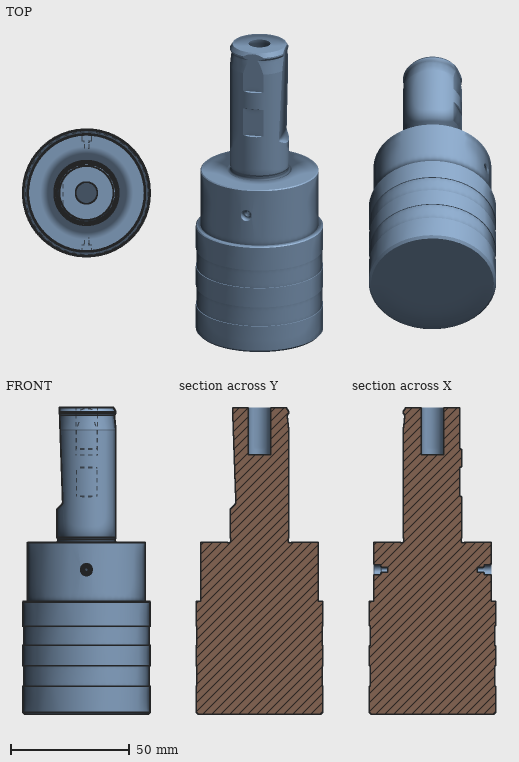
import cadquery as cq
import math

total_height = 130.0

sleeve_radius = 27.0
groove_radius = 26.6
sleeve_top = 48.0
lower_groove = (12.0, 20.6)
upper_groove = (29.3, 37.4)
sleeve_bottom_chamfer_width = 1.0
sleeve_bottom_chamfer_height = 1.0
sleeve_top_chamfer = 0.4

body_radius = 25.0
body_top = 73.0
body_chamfer = 0.4

undercut_radius = 12.2
undercut_top = 75.0
undercut_taper_bottom = 74.2
face_recess_radius = 13.7
undercut_fillet = 0.8
face_recess_depth = 0.3

shank_radius = 12.5
relief_bottom = 120.6
relief_top = 126.6
relief_radius = 11.85
rim_bottom = 127.6
rim_land = 0.6
rim_chamfer_width = 1.1

inclined_flat_angle = 2.0
inclined_flat_top_depth = 1.0
inclined_flat_bottom = 89.2
flat_heel_fillet = 1.7
flat_ramp_angle = 45.0

clamp_flat_depth = 0.8
clamp_flat_ramp = 0.4
lower_clamp_flat = (92.2, 104.9)
upper_clamp_flat_bottom = 112.2

shank_bore_diameter = 9.2
shank_bore_depth = 20.0
side_hole_height = 61.3
side_hole_diameter = 4.0
side_hole_mouth_diameter = 5.0
side_hole_depth = 3.0
side_pilot_diameter = 1.8
side_pilot_depth = 6.0
side_pilot_mouth_diameter = 3.0

cut_margin = 5.0


def make_turned_body():
    """Revolve the whole outside profile about Z."""
    shank_end_radius = shank_radius - rim_chamfer_width
    recess_floor = body_top - face_recess_depth
    profile = (
        cq.Workplane("XZ")
        .moveTo(0, 0)
        .lineTo(sleeve_radius - sleeve_bottom_chamfer_width, 0)
        .lineTo(sleeve_radius, sleeve_bottom_chamfer_height)
    )
    for groove_bottom, groove_top in (lower_groove, upper_groove):
        profile = (
            profile.lineTo(sleeve_radius, groove_bottom)
            .lineTo(groove_radius, groove_bottom)
            .lineTo(groove_radius, groove_top)
            .lineTo(sleeve_radius, groove_top)
        )
    profile = (
        profile.lineTo(sleeve_radius, sleeve_top - sleeve_top_chamfer)
        .lineTo(sleeve_radius - sleeve_top_chamfer, sleeve_top)
        .lineTo(body_radius, sleeve_top)
        .lineTo(body_radius, body_top - body_chamfer)
        .lineTo(body_radius - body_chamfer, body_top)
        .lineTo(face_recess_radius, body_top)
        .lineTo(undercut_radius + undercut_fillet, recess_floor)
        .radiusArc((undercut_radius, recess_floor + undercut_fillet), undercut_fillet)
        .lineTo(undercut_radius, undercut_taper_bottom)
        .lineTo(shank_radius, undercut_top)
        .lineTo(shank_radius, relief_bottom)
        .lineTo(relief_radius, relief_top)
        .lineTo(shank_radius, rim_bottom)
        .lineTo(shank_radius, rim_bottom + rim_land)
        .lineTo(shank_end_radius, total_height)
        .lineTo(0, total_height)
        .close()
    )
    return profile.revolve(360, (0, 0, 0), (0, 1, 0))


def make_inclined_flat_cutter():
    """Wedge removed from the -X side: a flat sloping inwards downwards, then a filleted 45 degree ramp."""
    slope = math.tan(math.radians(inclined_flat_angle))
    flat_x_at_end = -shank_radius + inclined_flat_top_depth
    flat_x_at_bottom = flat_x_at_end + slope * (total_height - inclined_flat_bottom)
    outer_x = -shank_radius - cut_margin
    ramp_drop = (flat_x_at_bottom - outer_x) * math.tan(math.radians(flat_ramp_angle))
    heel_point = (flat_x_at_bottom, 0, inclined_flat_bottom)
    return (
        cq.Workplane("XZ")
        .moveTo(flat_x_at_end - slope * cut_margin, total_height + cut_margin)
        .lineTo(flat_x_at_bottom, inclined_flat_bottom)
        .lineTo(outer_x, inclined_flat_bottom - ramp_drop)
        .lineTo(outer_x, total_height + cut_margin)
        .close()
        .extrude(shank_radius, both=True)
        .edges(cq.NearestToPointSelector(heel_point))
        .fillet(flat_heel_fillet)
    )


def make_clamp_flat_cutter(bottom, top):
    """Flat cut on the +Y side between two heights, with sloping ends."""
    flat_y = shank_radius - clamp_flat_depth
    ramp_spread = clamp_flat_ramp * (clamp_flat_depth + cut_margin) / clamp_flat_depth
    return (
        cq.Workplane("YZ")
        .moveTo(flat_y, bottom + clamp_flat_ramp)
        .lineTo(flat_y, top - clamp_flat_ramp)
        .lineTo(shank_radius + cut_margin, top - clamp_flat_ramp + ramp_spread)
        .lineTo(shank_radius + cut_margin, bottom + clamp_flat_ramp - ramp_spread)
        .close()
        .extrude(shank_radius, both=True)
    )


def make_side_hole_cutter():
    """Radial blind hole on the -Y side: countersunk mouth, then a countersunk pilot in its floor."""
    hole_radius = side_hole_diameter / 2
    mouth_radius = side_hole_mouth_diameter / 2
    pilot_radius = side_pilot_diameter / 2
    pilot_mouth_radius = side_pilot_mouth_diameter / 2
    pilot_mouth_depth = pilot_mouth_radius - pilot_radius
    mouth_depth = mouth_radius - hole_radius
    return (
        cq.Workplane("XY")
        .moveTo(0, -body_radius + side_pilot_depth)
        .lineTo(pilot_radius, -body_radius + side_pilot_depth)
        .lineTo(pilot_radius, -body_radius + side_hole_depth + pilot_mouth_depth)
        .lineTo(pilot_mouth_radius, -body_radius + side_hole_depth)
        .lineTo(hole_radius, -body_radius + side_hole_depth)
        .lineTo(hole_radius, -body_radius + mouth_depth)
        .lineTo(mouth_radius, -body_radius)
        .lineTo(mouth_radius, -body_radius - cut_margin)
        .lineTo(0, -body_radius - cut_margin)
        .close()
        .revolve(360, (0, 0, 0), (0, 1, 0))
        .translate((0, 0, side_hole_height))
    )


def make_shank_bore_cutter():
    """Blind bore down the shank axis."""
    return (
        cq.Workplane("XY")
        .workplane(offset=total_height - shank_bore_depth)
        .circle(shank_bore_diameter / 2)
        .extrude(shank_bore_depth + cut_margin)
    )


part = make_turned_body()
part = part.cut(make_inclined_flat_cutter())
part = part.cut(make_clamp_flat_cutter(*lower_clamp_flat))
part = part.cut(make_clamp_flat_cutter(upper_clamp_flat_bottom, total_height + cut_margin))
part = part.cut(make_shank_bore_cutter())

for side_angle in (0, 180):
    part = part.cut(make_side_hole_cutter().rotate((0, 0, 0), (0, 0, 1), side_angle))

result = part